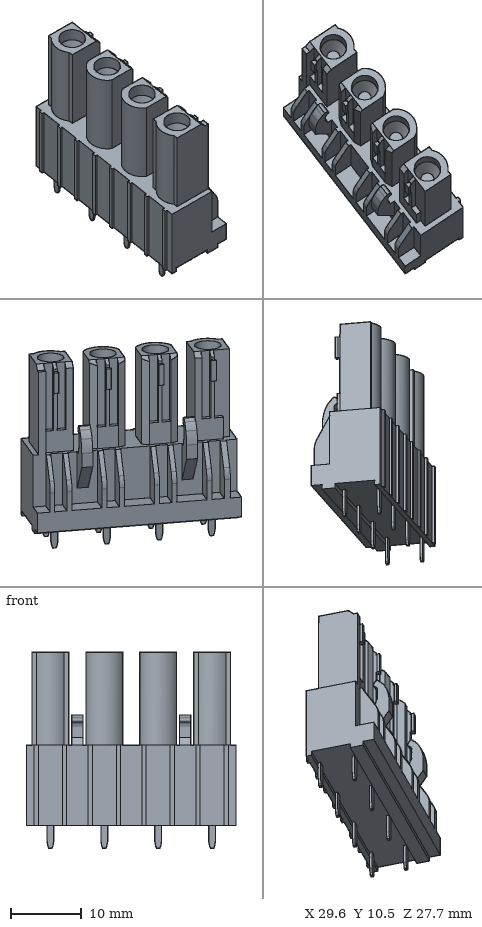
import cadquery as cq
import math


length = 29.65
height = 11.4
wall_front = 0.33
block_back = 7.7
back = 10.4
underside = 0.65
shelf_top = 3.62
front_foot_back = 1.1
rear_foot_front = 6.9
rear_foot_back = 8.8

pitch = 7.62
pole_count = 4
pole_xs = [pitch * (i - (pole_count - 1) / 2) for i in range(pole_count)]

tower_top = 24.53
tower_half = 2.6
tower_back = 6.38
tower_axis_y = 4.12
tower_radius = 2.95
square_front = 1.93

key_back = 7.12
key_chamfer = key_back - tower_back
key_half = 1.55
bevel_drop = 0.42
key_base_top = 14.62
rail_width = 0.53
nub_width = 0.75
nub_head_front = 7.33
nub_bottom = 20.35
nub_top = 23.43

socket_radius = 1.87
socket_depth = 1.95
funnel_radius = 0.92
funnel_depth = 1.9

wall_rib_inner = 1.7
wall_rib_outer = 2.28

rear_gap_half = 0.9
rear_rib = 0.75
left_end_rib = 0.9
right_end_rib = 0.65
rib_flat_back = 8.07
rib_slope = 60.0
rib_round = 3.25

hook_width = 1.6
hook_stem_front = 8.8
hook_back = 10.53
hook_root_front = (8.35, height)
hook_stem_bottom = (hook_stem_front, 12.45)
hook_stem_top = (hook_stem_front, 14.12)
hook_throat_mid = (8.65, 14.45)
hook_lip_bottom = (8.33, 14.65)
hook_lip_front = (8.22, 14.95)
hook_lip_top = (8.3, 15.2)
hook_crest_front = (8.42, 15.4)
hook_crest_mid = (8.65, 15.63)
hook_crest_back = (8.93, 15.6)
hook_shoulder = (9.35, 15.15)
hook_shoulder_mid = (9.75, 14.65)
hook_bend = (10.08, 14.05)
hook_bend_mid = (10.38, 13.1)
hook_back_top = (hook_back, 12.1)
hook_back_bottom = (hook_back, 9.97)
hook_root_bottom = (block_back, 5.93)

pin_width = 0.98
pin_thickness = 0.35
pin_length = 3.2
front_pin_y = 1.33
pin_row_spacing = 5.07
pin_neck_width = 0.75
pin_tip_width = 0.47
pin_taper = 0.95
pin_tip_taper = 0.33


def box(x0, x1, y0, y1, z0, z1):
    """Box between two values on each axis."""
    return cq.Workplane("XY").box(x1 - x0, y1 - y0, z1 - z0, centered=False).translate((x0, y0, z0))


def side_plane(x):
    """Plane across X whose local axes are Y and Z."""
    return cq.Workplane("YZ", origin=(x, 0, 0))


def make_block():
    """Main block with its rear shelf and the two feet."""
    outline = [
        (wall_front, 0),
        (front_foot_back, 0),
        (front_foot_back, underside),
        (rear_foot_front, underside),
        (rear_foot_front, 0),
        (rear_foot_back, 0),
        (rear_foot_back, underside),
        (back, underside),
        (back, shelf_top),
        (block_back, shelf_top),
        (block_back, height),
        (wall_front, height),
    ]
    return side_plane(-length / 2).polyline(outline).close().extrude(length)


def make_wall_rib(x, side):
    """Thin full-height rib on the front wall, left or right of a pole."""
    edges = sorted((x + side * wall_rib_inner, x + side * wall_rib_outer))
    return box(edges[0], edges[1], 0, wall_front, 0, height)


def make_rear_rib(x0, width):
    """Rib above the shelf with a sloped, rounded back."""
    corner_z = height - (back - rib_flat_back) * math.tan(math.radians(rib_slope))
    outline = [
        (block_back, shelf_top),
        (back, shelf_top),
        (back, corner_z),
        (rib_flat_back, height),
        (block_back, height),
    ]
    rib = side_plane(x0).polyline(outline).close().extrude(width)
    return rib.edges("|X").edges(">Y").edges(">Z").fillet(rib_round)


def make_hook(x):
    """Latch hook leaning out behind the block and curling back towards the towers."""
    profile = (
        side_plane(x - hook_width / 2)
        .moveTo(block_back, height)
        .lineTo(*hook_root_front)
        .lineTo(*hook_stem_bottom)
        .lineTo(*hook_stem_top)
        .threePointArc(hook_throat_mid, hook_lip_bottom)
        .threePointArc(hook_lip_front, hook_lip_top)
        .lineTo(*hook_crest_front)
        .threePointArc(hook_crest_mid, hook_crest_back)
        .lineTo(*hook_shoulder)
        .threePointArc(hook_shoulder_mid, hook_bend)
        .threePointArc(hook_bend_mid, hook_back_top)
        .lineTo(*hook_back_bottom)
        .lineTo(*hook_root_bottom)
        .close()
    )
    return profile.extrude(hook_width)


def make_tower(x, squared):
    """Tower body: a round front on a flat back, squared at the front on end poles."""
    tower_height = tower_top - height
    front_y = square_front if squared else tower_axis_y
    flat = box(x - tower_half, x + tower_half, front_y, tower_back, height, tower_top)
    axis_plane = cq.Workplane("XY", origin=(x, tower_axis_y, height))
    round_front = axis_plane.circle(tower_radius).extrude(tower_height)
    envelope = box(x - tower_half, x + tower_half, 0, tower_back, height, tower_top)
    return flat.union(round_front.intersect(envelope))


def make_key(x, left_reach, bevelled):
    """Key bar on a tower's back, with two pockets beside a centre rail and a chamfered top."""
    bar = box(x - left_reach, x + tower_half, tower_back, key_back, height, tower_top)
    if bevelled:
        bar = bar.edges("|Z and >Y").chamfer(bevel_drop, tower_half - key_half)
    for x0, x1 in ((-key_half, -rail_width / 2), (rail_width / 2, key_half)):
        bar = bar.cut(box(x + x0, x + x1, tower_back, key_back, key_base_top, tower_top))
    chamfer = (
        side_plane(x - tower_half)
        .polyline([(tower_back, tower_top), (key_back, tower_top), (key_back, tower_top - key_chamfer)])
        .close()
        .extrude(2 * tower_half)
    )
    return bar.cut(chamfer)


def make_nub(x):
    """T-shaped nub on the centre rail."""
    neck = box(x - rail_width / 2, x + rail_width / 2, key_back, nub_head_front, nub_bottom, nub_top)
    head = box(x - nub_width / 2, x + nub_width / 2, nub_head_front, block_back, nub_bottom, nub_top)
    return neck.union(head)


def make_socket(x):
    """Socket cavity: a cylinder that narrows in a funnel to a flat floor."""
    floor = -socket_depth - funnel_depth
    half_section = [
        (0, 0),
        (socket_radius, 0),
        (socket_radius, -socket_depth),
        (funnel_radius, floor),
        (0, floor),
    ]
    plane = cq.Workplane("XZ", origin=(x, tower_axis_y, tower_top))
    return plane.polyline(half_section).close().revolve(360, (0, 0), (0, 1))


def make_housing():
    """Housing with its ribs, keyed towers, sockets and latch hooks."""
    housing = make_block()
    for i, x in enumerate(pole_xs):
        first = i == 0
        last = i == pole_count - 1
        end_pole = first or last
        for side in (-1, 1):
            housing = housing.union(make_wall_rib(x, side))
        left_rib = left_end_rib if first else rear_rib
        right_rib = right_end_rib if last else rear_rib
        housing = housing.union(make_rear_rib(x - rear_gap_half - left_rib, left_rib))
        housing = housing.union(make_rear_rib(x + rear_gap_half, right_rib))
        housing = housing.union(make_tower(x, end_pole))
        housing = housing.union(make_key(x, key_half if first else tower_half, not end_pole))
        housing = housing.union(make_nub(x))
        housing = housing.cut(make_socket(x))

    last_x = pole_xs[-1]
    housing = housing.union(
        box(last_x + key_half, last_x + tower_half, key_back, block_back, height, tower_top - key_chamfer)
    )
    for hook_x in (-pitch, pitch):
        housing = housing.union(make_hook(hook_x))
    return housing


def make_pin(x, y):
    """Flat solder pin below the housing, narrowing in two steps to a blunt tip."""
    right_half = [
        (pin_width / 2, underside),
        (pin_width / 2, pin_taper - pin_length),
        (pin_neck_width / 2, pin_tip_taper - pin_length),
        (pin_tip_width / 2, -pin_length),
    ]
    left_half = [(-px, pz) for px, pz in reversed(right_half)]
    plane = cq.Workplane("XZ", origin=(x, y + pin_thickness / 2, 0))
    return plane.polyline(right_half + left_half).close().extrude(pin_thickness)


housing = make_housing()
pins = []
for pin_x in pole_xs:
    for pin_y in (front_pin_y, front_pin_y + pin_row_spacing):
        pins.append(make_pin(pin_x, pin_y).val())

result = cq.Compound.makeCompound([housing.val(), *pins])